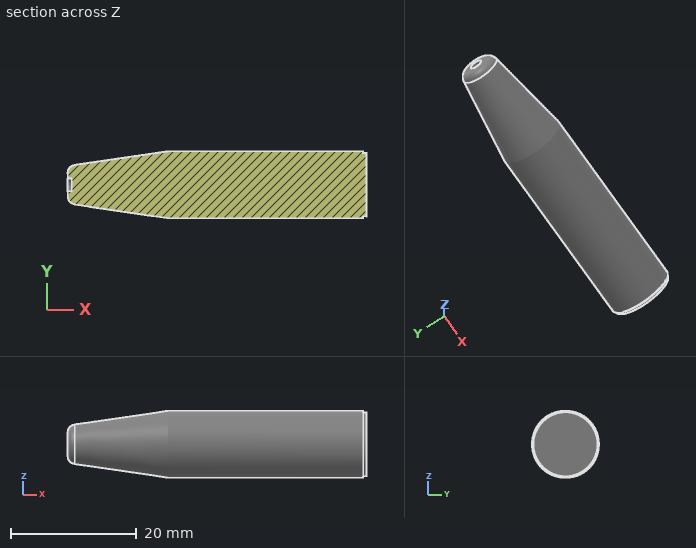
import cadquery as cq

total_length = 47.55
barrel_radius = 5.35
taper_length = 15.95
nose_length = 1.1
nose_radius = 3.15
nose_face_radius = 1.85
lip_start = 1.2
lip_radius = 3.2
spigot_length = 0.5
spigot_radius = 5.1
bore_diameter = 2.0
bore_depth = 0.65

spigot_start = total_length - spigot_length


def make_body():
    """Rounded nose, small conical lip, taper, cylindrical barrel and reduced end spigot."""
    return (
        cq.Workplane("XY")
        .lineTo(0, nose_face_radius)
        .tangentArcPoint((nose_length, nose_radius), relative=False)
        .lineTo(lip_start, lip_radius)
        .lineTo(taper_length, barrel_radius)
        .lineTo(spigot_start, barrel_radius)
        .lineTo(spigot_start, spigot_radius)
        .lineTo(total_length, spigot_radius)
        .lineTo(total_length, 0)
        .close()
        .revolve(360, (0, 0, 0), (1, 0, 0))
    )


def make_bore():
    """Blind axial hole opening on the nose face."""
    return cq.Workplane("YZ").circle(bore_diameter / 2).extrude(bore_depth)


result = make_body().cut(make_bore())